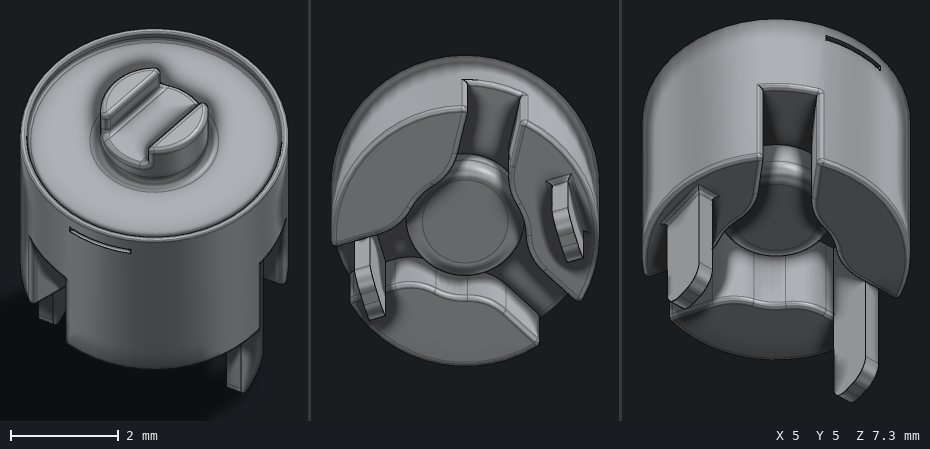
import cadquery as cq
import math


total_height = 7.3

body_diameter = 5.0
body_height = 4.0
edge_round = 0.1
rim_round = 0.03

rim_inner_radius = 2.37
recess_depth = 0.2
recess_round = 0.07
recess_lip_round = 0.045

knob_radius = 1.0
knob_height = 0.795
knob_flare = 0.2
knob_slot_width = 1.0
knob_slot_depth = 0.5
knob_slot_angle = 72

cavity_radius = 1.13
cavity_height = 2.0
stub_radius = 1.1
stub_bottom = 1.21
stub_round = 0.31

slot_count = 3
slot_width = 1.0
slot_inner_round = 1.0

pocket_top = 3.7
pocket_height = 0.12
pocket_depth = 0.22
pocket_floor_width = 1.0
pocket_mouth_width = 1.26

pin_width = 1.0
pin_thickness = 0.31
pin_tip_round = 0.395
left_pin_x = -1.99
right_pin_x = 1.85
pin_root_round = 0.1

body_radius = body_diameter / 2
recess_floor = body_height - recess_depth
knob_top = body_height + knob_height
pin_length = total_height - knob_top


def make_side_slot(angle):
    slot = cq.Workplane("XY").box(body_radius * 2, slot_width, cavity_height, centered=(False, True, False))
    return slot.rotate((0, 0, 0), (0, 0, 1), angle)


def make_cavity():
    cavity = cq.Workplane("XY").circle(cavity_radius).extrude(cavity_height)
    for index in range(slot_count):
        cavity = cavity.union(make_side_slot(index * 360 / slot_count))
    inner_corners = cavity.edges("|Z").filter(
        lambda edge: abs(math.hypot(edge.Center().x, edge.Center().y) - cavity_radius) < edge_round
    )
    return inner_corners.fillet(slot_inner_round)


def is_exposed_wall_edge(edge):
    """True for the edges of the wall segments, except those that lie in the ceiling of the cavity."""
    if edge.BoundingBox().zmax > cavity_height + edge_round:
        return False
    ends_on_outside = all(math.hypot(end.X, end.Y) > body_radius - edge_round for end in edge.Vertices())
    return ends_on_outside or edge.Center().z < cavity_height - edge_round


def make_cup():
    cup = cq.Workplane("XY").circle(body_radius).extrude(body_height)
    cup = cup.cut(make_cavity())
    cup = cup.edges().filter(is_exposed_wall_edge).fillet(edge_round)

    cup = cup.faces(">Z").edges().fillet(rim_round)
    recess = cq.Workplane("XY", origin=(0, 0, recess_floor)).circle(rim_inner_radius).extrude(recess_depth)
    recess = recess.faces("<Z").edges().fillet(recess_round)
    cup = cup.cut(recess)
    return cup.faces(">Z").edges("%CIRCLE").edges(cq.selectors.RadiusNthSelector(0)).fillet(recess_lip_round)


def make_latch_pocket():
    half_floor = pocket_floor_width / 2
    half_mouth = pocket_mouth_width / 2
    mouth_y = -math.sqrt(body_radius**2 - half_mouth**2)
    floor_y = pocket_depth - body_radius
    return (
        cq.Workplane("XY", origin=(0, 0, pocket_top - pocket_height))
        .moveTo(-half_floor, floor_y)
        .lineTo(half_floor, floor_y)
        .lineTo(half_mouth, mouth_y)
        .lineTo(half_mouth, -body_radius)
        .lineTo(-half_mouth, -body_radius)
        .lineTo(-half_mouth, mouth_y)
        .close()
        .extrude(pocket_height)
    )


def make_knob():
    flare_top = recess_floor + knob_flare
    knob = cq.Workplane("XY", origin=(0, 0, recess_floor)).circle(knob_radius).extrude(knob_top - recess_floor)
    slot = (
        cq.Workplane("XY", origin=(0, 0, knob_top - knob_slot_depth))
        .box(knob_radius * 3, knob_slot_width, knob_slot_depth, centered=(True, True, False))
        .rotate((0, 0, 0), (0, 0, 1), knob_slot_angle)
    )
    knob = knob.cut(slot)
    knob = knob.edges().filter(lambda edge: edge.Center().z > flare_top).fillet(edge_round)
    flare = (
        cq.Workplane("XZ")
        .moveTo(0, recess_floor)
        .lineTo(knob_radius + knob_flare, recess_floor)
        .radiusArc((knob_radius, flare_top), knob_flare)
        .lineTo(0, flare_top)
        .close()
        .revolve(360, (0, 0), (0, 1))
    )
    return knob.union(flare)


def make_stub():
    stub = cq.Workplane("XY", origin=(0, 0, stub_bottom)).circle(stub_radius).extrude(cavity_height - stub_bottom)
    return stub.faces("<Z").edges().fillet(stub_round)


def make_pin(x, top):
    pin = (
        cq.Workplane("XY", origin=(x, 0, -pin_length))
        .box(pin_thickness, pin_width, pin_length + top, centered=(True, True, False))
    )
    return pin.faces("<Z").edges("|X").fillet(pin_tip_round)


def is_left_pin_root(edge):
    middle = edge.Center()
    reach = (pin_thickness + pin_width) / 2
    return abs(middle.z) < rim_round and math.hypot(middle.x - left_pin_x, middle.y) < reach


result = make_cup().cut(make_latch_pocket())
result = result.union(make_pin(left_pin_x, 0))
result = result.edges().filter(is_left_pin_root).fillet(pin_root_round)
result = result.union(make_pin(right_pin_x, cavity_height))
result = result.union(make_knob()).union(make_stub())